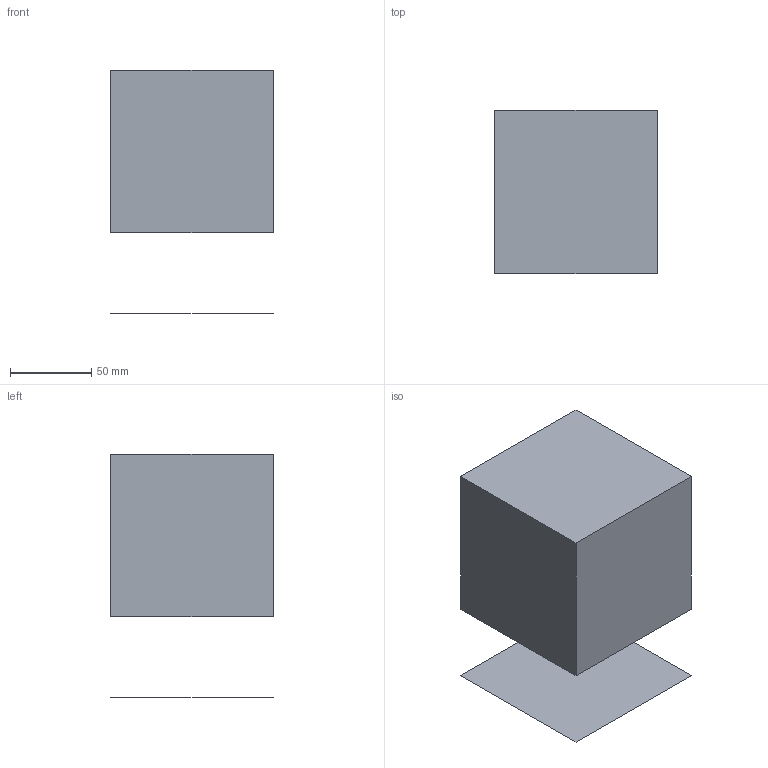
import cadquery as cq

side = 100.0
gap = 50.0


def make_cube():
    """Solid cube whose underside is one gap above the sheet."""
    return cq.Workplane("XY").workplane(offset=gap).box(side, side, side, centered=(True, True, False)).val()


def make_sheet():
    """Flat square face of zero thickness, lying at Z = 0 directly below the cube."""
    return cq.Face.makePlane(side, side)


result = cq.Workplane("XY").newObject([cq.Compound.makeCompound([make_cube(), make_sheet()])])